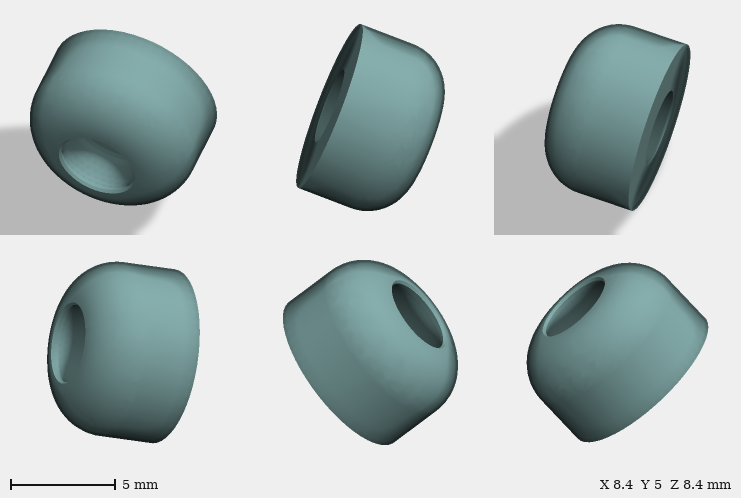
import cadquery as cq
import math

outer_radius = 4.2
length = 5.0
dome_depth = 2.29

rim_radius = 1.96
throat_radius = 1.865
rim_depth = 0.135

socket_radius = 2.2
socket_centre_depth = rim_depth + math.sqrt(socket_radius**2 - throat_radius**2)

groove_radius = 2.1
groove_start = socket_centre_depth + math.sqrt(socket_radius**2 - groove_radius**2)
groove_end = 2.31
taper_radius = 2.02
taper_end = 2.495
bore_start = taper_end + taper_radius - throat_radius

front = -length / 2
back = length / 2


def make_body():
    """Cylinder along Y with a rounded front edge."""
    cylinder = cq.Workplane("XZ", origin=(0, back, 0)).circle(outer_radius).extrude(length)
    return cylinder.faces("<Y").edges().fillet(dome_depth)


def make_opening():
    """Through opening, revolved about the Y axis."""
    profile = (
        cq.Workplane("XY")
        .moveTo(0, front)
        .lineTo(rim_radius, front)
        .lineTo(throat_radius, front + rim_depth)
        .threePointArc(
            (socket_radius, front + socket_centre_depth),
            (groove_radius, front + groove_start),
        )
        .lineTo(groove_radius, front + groove_end)
        .lineTo(taper_radius, front + taper_end)
        .lineTo(throat_radius, front + bore_start)
        .lineTo(throat_radius, back)
        .lineTo(0, back)
        .close()
    )
    return profile.revolve(360, (0, 0, 0), (0, 1, 0))


result = make_body().cut(make_opening())